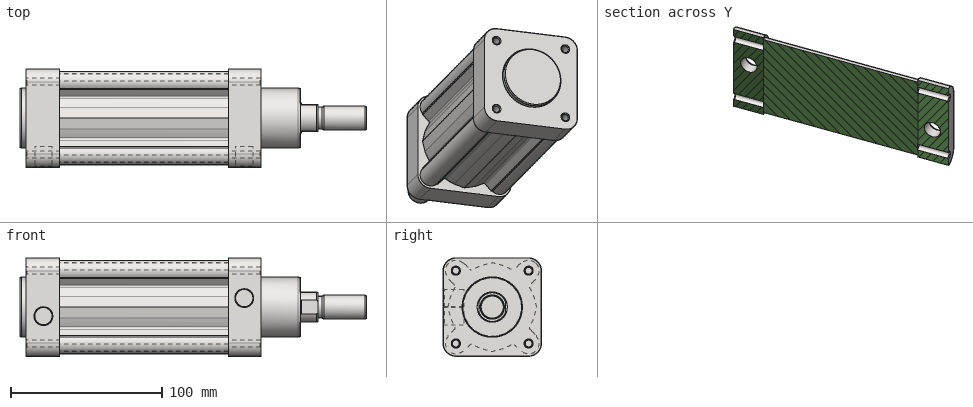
import cadquery as cq
import math


CAP_SIZE = 65.0
CAP_CORNER_RADIUS = 8.7
REAR_CAP_START = 4.0
REAR_CAP_LENGTH = 22.5
FRONT_CAP_START = 137.6
FRONT_CAP_LENGTH = 21.8
BOSS_RADIUS = 20.0
REAR_BOSS_CHAMFER_LENGTH = 1.0
REAR_BOSS_CHAMFER_DEPTH = 0.7
FRONT_BOSS_LENGTH = 25.9
FRONT_BOSS_CHAMFER_LENGTH = 1.5
FRONT_BOSS_CHAMFER_DEPTH = 0.5

CORNER_OFFSET = 24.0
SCREW_HOLE_DIAMETER = 4.5
SCREW_HOLE_CHAMFER = 0.7

PORT_DIAMETER = 11.5
PORT_DEPTH = 13.7
PORT_CHAMFER_DEPTH = 0.5
PORT_CHAMFER_LENGTH = 1.0
PORT_HEIGHT = 6.0
REAR_PORT_X = 15.5
FRONT_PORT_X = 148.2

CORNER_RADIUS = 6.9
RIDGE_OUT = 29.3
KNEE_OUT = 27.5
KNEE_ALONG = 7.0
HIP_OUT = 24.7
HIP_ALONG = 12.8
HIP_BULGE = 0.14
VALLEY_OUT = 24.5
VALLEY_ALONG = 13.7
VALLEY_END = 14.7
SLANT_END = 18.8
FACET_END = 19.7
SLANT_RISE = 10.3

ROD_DIAMETER = 20.0
COLLAR_LENGTH = 0.7
FLATS_LENGTH = 11.0
FLATS_WIDTH = 17.6
SHOULDER_CHAMFER_LENGTH = 1.0
SHOULDER_CHAMFER_DEPTH = 0.5
UNDERCUT_DIAMETER = 14.7
UNDERCUT_LENGTH = 2.7
UNDERCUT_TAPER_LENGTH = 1.1
THREAD_DIAMETER = 16.0
THREAD_CHAMFER_LENGTH = 1.1
THREAD_CHAMFER_DEPTH = 0.7
OVERALL_LENGTH = 229.0

REAR_CAP_END = REAR_CAP_START + REAR_CAP_LENGTH
FRONT_CAP_END = FRONT_CAP_START + FRONT_CAP_LENGTH
FRONT_BOSS_END = FRONT_CAP_END + FRONT_BOSS_LENGTH
CORNERS = [(y * CORNER_OFFSET, z * CORNER_OFFSET) for y in (-1, 1) for z in (-1, 1)]


def section_at(x):
    """Workplane across the cylinder at x, with local axes Y and Z."""
    return cq.Workplane("YZ", origin=(x, 0, 0))


def turned(stations):
    """Solid of revolution about the X axis through (x, radius) stations, closed along the axis."""
    outline = [(stations[0][0], 0)] + stations + [(stations[-1][0], 0)]
    return cq.Workplane("XY").polyline(outline).close().revolve(360, (0, 0, 0), (1, 0, 0))


def chamfered_hole_cutter(plane, diameter, depth, chamfer_depth, chamfer_length):
    """Cutter for a round hole along the plane's normal; chamfer_depth is radial, chamfer_length axial."""
    taper = math.degrees(math.atan2(chamfer_depth, chamfer_length))
    bore = plane.circle(diameter / 2).extrude(depth)
    mouth = plane.circle(diameter / 2 + chamfer_depth).extrude(chamfer_length, taper=taper)
    return bore.union(mouth)


def cap_block(start, length, port_x, port_z):
    """Rounded square block with its air port in the -Y face."""
    block = section_at(start).rect(CAP_SIZE, CAP_SIZE).extrude(length)
    block = block.edges("|X").fillet(CAP_CORNER_RADIUS)
    port_plane = cq.Workplane(cq.Plane((port_x, -CAP_SIZE / 2, port_z), (1, 0, 0), (0, 1, 0)))
    port = chamfered_hole_cutter(
        port_plane, PORT_DIAMETER, PORT_DEPTH, PORT_CHAMFER_DEPTH, PORT_CHAMFER_LENGTH
    )
    return block.cut(port)


def cut_screw_holes(cap, outer_x, inward, depth):
    """Screw holes through a cap from its outer face; inward is the X direction toward the barrel."""
    for y, z in CORNERS:
        plane = cq.Workplane(cq.Plane((outer_x, y, z), (0, 1, 0), (inward, 0, 0)))
        hole = chamfered_hole_cutter(
            plane, SCREW_HOLE_DIAMETER, depth, SCREW_HOLE_CHAMFER, SCREW_HOLE_CHAMFER
        )
        cap = cap.cut(hole)
    return cap


def make_rear_cap():
    block = cap_block(REAR_CAP_START, REAR_CAP_LENGTH, REAR_PORT_X, -PORT_HEIGHT)
    boss = turned([
        (0, BOSS_RADIUS - REAR_BOSS_CHAMFER_DEPTH),
        (REAR_BOSS_CHAMFER_LENGTH, BOSS_RADIUS),
        (REAR_CAP_START, BOSS_RADIUS),
    ])
    return cut_screw_holes(block.union(boss), REAR_CAP_START, 1, REAR_CAP_LENGTH)


def make_front_cap():
    block = cap_block(FRONT_CAP_START, FRONT_CAP_LENGTH, FRONT_PORT_X, PORT_HEIGHT)
    boss = turned([
        (FRONT_CAP_END, BOSS_RADIUS),
        (FRONT_BOSS_END - FRONT_BOSS_CHAMFER_LENGTH, BOSS_RADIUS),
        (FRONT_BOSS_END, BOSS_RADIUS - FRONT_BOSS_CHAMFER_DEPTH),
    ])
    return cut_screw_holes(block.union(boss), FRONT_CAP_END, -1, FRONT_CAP_LENGTH)


def barrel_side(profile, angle):
    """Add one side of the barrel core, turned by angle, to a profile that stands on a corner axis."""

    def at(out, along):
        return (
            out * math.cos(angle) - along * math.sin(angle),
            out * math.sin(angle) + along * math.cos(angle),
        )

    def slant(along):
        return at(SLANT_RISE + abs(along), along)

    corner_depth = CORNER_OFFSET - FACET_END
    facet_out = CORNER_OFFSET + math.sqrt(CORNER_RADIUS**2 - corner_depth**2)
    bulge_out = (KNEE_OUT + HIP_OUT) / 2 + HIP_BULGE
    bulge_along = (KNEE_ALONG + HIP_ALONG) / 2
    return (
        profile.lineTo(*at(facet_out, -FACET_END))
        .lineTo(*slant(-SLANT_END))
        .lineTo(*slant(-VALLEY_END))
        .threePointArc(at(VALLEY_OUT, -VALLEY_ALONG), at(HIP_OUT, -HIP_ALONG))
        .threePointArc(at(bulge_out, -bulge_along), at(KNEE_OUT, -KNEE_ALONG))
        .lineTo(*at(RIDGE_OUT, 0))
        .lineTo(*at(KNEE_OUT, KNEE_ALONG))
        .threePointArc(at(bulge_out, bulge_along), at(HIP_OUT, HIP_ALONG))
        .threePointArc(at(VALLEY_OUT, VALLEY_ALONG), slant(VALLEY_END))
        .lineTo(*slant(SLANT_END))
        .lineTo(*at(facet_out, FACET_END))
        .lineTo(*at(CORNER_OFFSET, CORNER_OFFSET))
    )


def make_barrel():
    """Solid core with four ridged sides and a round along each corner."""
    length = FRONT_CAP_START - REAR_CAP_END
    profile = section_at(REAR_CAP_END).moveTo(CORNER_OFFSET, -CORNER_OFFSET)
    for side in range(4):
        profile = barrel_side(profile, side * math.pi / 2)
    core = profile.close().extrude(length)
    rounds = section_at(REAR_CAP_END).pushPoints(CORNERS).circle(CORNER_RADIUS).extrude(length)
    return core.union(rounds)


def make_rod():
    """Rod that butts against the front boss: collar, wrench flats, undercut and thread shank."""
    rod_radius = ROD_DIAMETER / 2
    undercut_radius = UNDERCUT_DIAMETER / 2
    thread_radius = THREAD_DIAMETER / 2
    flats_start = FRONT_BOSS_END + COLLAR_LENGTH
    shoulder = flats_start + FLATS_LENGTH
    undercut_end = shoulder + UNDERCUT_LENGTH
    rod = turned([
        (FRONT_BOSS_END, rod_radius),
        (shoulder - SHOULDER_CHAMFER_LENGTH, rod_radius),
        (shoulder, rod_radius - SHOULDER_CHAMFER_DEPTH),
        (shoulder, undercut_radius),
        (undercut_end, undercut_radius),
        (undercut_end + UNDERCUT_TAPER_LENGTH, thread_radius),
        (OVERALL_LENGTH - THREAD_CHAMFER_LENGTH, thread_radius),
        (OVERALL_LENGTH, thread_radius - THREAD_CHAMFER_DEPTH),
    ])
    for side in (-1, 1):
        waste = section_at(flats_start).center(side * (FLATS_WIDTH + ROD_DIAMETER) / 2, 0)
        rod = rod.cut(waste.rect(ROD_DIAMETER, 2 * ROD_DIAMETER).extrude(FLATS_LENGTH))
    return rod


rear_cap = make_rear_cap().solids()
barrel = make_barrel().solids()
front_cap = make_front_cap().solids()
rod = make_rod().solids()

result = cq.Compound.makeCompound([rear_cap.val(), barrel.val(), front_cap.val(), rod.val()])